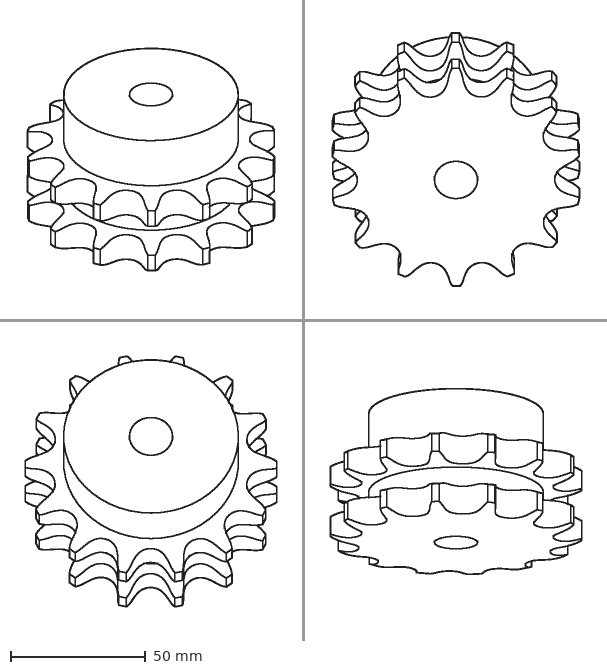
import cadquery as cq
import math


TOOTH_COUNT = 14
TIP_DIAMETER = 93.6
HUB_DIAMETER = 65.0
BORE_DIAMETER = 16.0
TOTAL_HEIGHT = 50.0

ROW_WIDTH = 10.8
ROW_SPACING = 19.5
ROW_COUNT = 2
BEVEL_INSET = 2.0
BEVEL_START_RADIUS = 38.2

PITCH_DIAMETER = 85.55
ROLLER_DIAMETER = 12.1

WORKING_OFFSET = 0.8 * ROLLER_DIAMETER
TOPPING_OFFSET = 1.4 * ROLLER_DIAMETER
SEAT_RADIUS = 1.005 * ROLLER_DIAMETER / 2
WORKING_RADIUS = WORKING_OFFSET + SEAT_RADIUS
SEAT_ANGLE = math.radians(35 + 60 / TOOTH_COUNT)
WORKING_ANGLE = math.radians(18 - 56 / TOOTH_COUNT)
TOPPING_ANGLE = math.radians(17 - 64 / TOOTH_COUNT)
FLAT_LENGTH = TOPPING_OFFSET * math.sin(TOPPING_ANGLE) - WORKING_OFFSET * math.sin(WORKING_ANGLE)
TOPPING_RADIUS = (
    WORKING_OFFSET * math.cos(WORKING_ANGLE)
    + TOPPING_OFFSET * math.cos(TOPPING_ANGLE)
    - WORKING_RADIUS
)

TIP_RADIUS = TIP_DIAMETER / 2
TOOTH_ANGLE = 2 * math.pi / TOOTH_COUNT


def polar(center, radius, angle):
    """Point at a distance and direction from a center."""
    return (center[0] + radius * math.cos(angle), center[1] + radius * math.sin(angle))


def rotate(point, angle):
    """Point turned about the origin."""
    x, y = point
    return (x * math.cos(angle) - y * math.sin(angle), x * math.sin(angle) + y * math.cos(angle))


def flank_points():
    """Points from the seat to the tip on the +X side of a tooth gap centered on +Y.

    Each arc contributes its middle and end point, the flat only its end point.
    """
    seat_center = (0, PITCH_DIAMETER / 2)
    seat_end = polar(seat_center, SEAT_RADIUS, -SEAT_ANGLE)

    flat_normal = WORKING_ANGLE - SEAT_ANGLE
    working_center = polar(seat_end, -WORKING_RADIUS, -SEAT_ANGLE)
    working_mid = polar(working_center, WORKING_RADIUS, (flat_normal - SEAT_ANGLE) / 2)
    working_end = polar(working_center, WORKING_RADIUS, flat_normal)

    flat_end = polar(working_end, FLAT_LENGTH, flat_normal + math.pi / 2)

    topping_center = polar(flat_end, TOPPING_RADIUS, flat_normal)
    center_distance = math.hypot(*topping_center)
    tip_offset = math.acos(
        (TIP_RADIUS**2 + center_distance**2 - TOPPING_RADIUS**2) / (2 * TIP_RADIUS * center_distance)
    )
    tip = polar((0, 0), TIP_RADIUS, math.atan2(topping_center[1], topping_center[0]) + tip_offset)
    start_angle = flat_normal + math.pi
    end_angle = math.atan2(tip[1] - topping_center[1], tip[0] - topping_center[0])
    topping_mid = polar(topping_center, TOPPING_RADIUS, (start_angle + end_angle) / 2)
    return seat_end, working_mid, working_end, flat_end, topping_mid, tip


def tooth_outline():
    """Closed outline of all teeth, drawn counterclockwise one gap and one tooth tip at a time."""
    right_flank = flank_points()
    left_flank = [(-x, y) for x, y in right_flank]
    right_tip = right_flank[-1]
    root = (0, PITCH_DIAMETER / 2 - SEAT_RADIUS)
    tip_middle = rotate((0, TIP_RADIUS), TOOTH_ANGLE / 2)

    outline = cq.Workplane("XY").moveTo(*right_tip)
    for gap in range(TOOTH_COUNT):
        turn = gap * TOOTH_ANGLE
        seat_start, working_mid, working_end, flat_end, topping_mid, _ = (
            rotate(point, turn) for point in right_flank
        )
        outline = (
            outline.threePointArc(topping_mid, flat_end)
            .lineTo(*working_end)
            .threePointArc(working_mid, seat_start)
        )
        seat_end, working_mid, working_end, flat_end, topping_mid, left_tip = (
            rotate(point, turn) for point in left_flank
        )
        outline = (
            outline.threePointArc(rotate(root, turn), seat_end)
            .threePointArc(working_mid, working_end)
            .lineTo(*flat_end)
            .threePointArc(topping_mid, left_tip)
            .threePointArc(rotate(tip_middle, turn), rotate(right_tip, turn + TOOTH_ANGLE))
        )
    return outline.close()


def bevelled_disc():
    """Disc whose two faces curve toward each other near the rim."""
    bevel_length = TIP_RADIUS - BEVEL_START_RADIUS
    bevel_radius = (bevel_length**2 + BEVEL_INSET**2) / (2 * BEVEL_INSET)
    mid_angle = math.asin(bevel_length / bevel_radius) / 2
    mid_radius = BEVEL_START_RADIUS + bevel_radius * math.sin(mid_angle)
    mid_inset = bevel_radius * (1 - math.cos(mid_angle))
    return (
        cq.Workplane("XZ")
        .lineTo(BEVEL_START_RADIUS, 0)
        .threePointArc((mid_radius, mid_inset), (TIP_RADIUS, BEVEL_INSET))
        .lineTo(TIP_RADIUS, ROW_WIDTH - BEVEL_INSET)
        .threePointArc((mid_radius, ROW_WIDTH - mid_inset), (BEVEL_START_RADIUS, ROW_WIDTH))
        .lineTo(0, ROW_WIDTH)
        .close()
        .revolve(360, (0, 0, 0), (0, 1, 0))
    )


tooth_row = tooth_outline().extrude(ROW_WIDTH).intersect(bevelled_disc())

sprocket = cq.Workplane("XY").circle(HUB_DIAMETER / 2).extrude(TOTAL_HEIGHT)
for row in range(ROW_COUNT):
    sprocket = sprocket.union(tooth_row.translate((0, 0, row * ROW_SPACING)))

bore = cq.Workplane("XY").circle(BORE_DIAMETER / 2).extrude(TOTAL_HEIGHT)
result = sprocket.cut(bore)